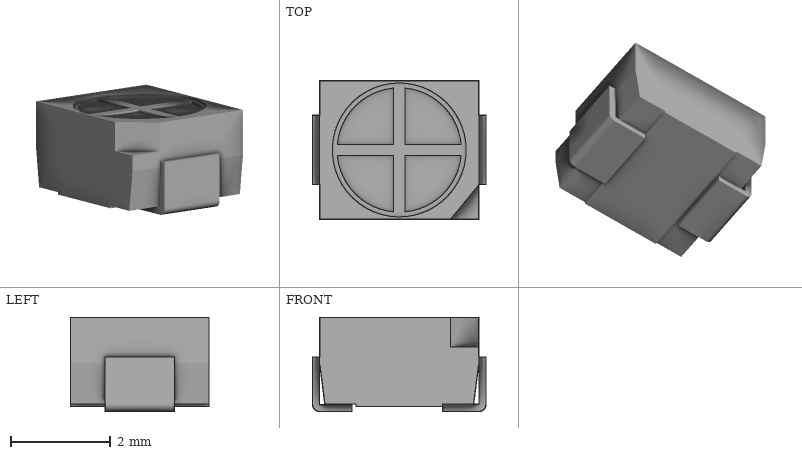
import cadquery as cq

total_length = 3.5
body_width = 2.8
total_height = 1.9

lead_thickness = 0.145
lead_width = 1.4
lead_height = 1.102
bend_radius = 0.147
left_foot_length = 0.798
right_foot_length = 0.875
left_foot_thickness = 0.145
right_foot_thickness = 0.15

body_length = total_length - 2 * lead_thickness
body_bottom = 0.1
ledge_height = right_foot_thickness
taper_height = 0.98
taper_inset = 0.105
pad_length = total_length - 2 * right_foot_length

notch_length = 0.575
notch_width = 0.7
notch_depth = 0.6

window_diameter = 2.7
window_depth = 0.05
pocket_diameter = 2.505
pocket_depth = 0.05
cross_width = 0.225


def make_body():
    """Block with tapered lower ends and a shallow pad underneath."""
    half_top = body_length / 2
    half_bottom = half_top - taper_inset
    half_pad = pad_length / 2
    outline = [
        (-half_top, total_height),
        (half_top, total_height),
        (half_top, taper_height),
        (half_bottom, ledge_height),
        (half_pad, ledge_height),
        (half_pad, body_bottom),
        (-half_pad, body_bottom),
        (-half_pad, ledge_height),
        (-half_bottom, ledge_height),
        (-half_top, taper_height),
    ]
    return cq.Workplane("XZ").polyline(outline).close().extrude(body_width / 2, both=True)


def make_notch():
    """Triangular prism that cuts the top of the +X, -Y corner."""
    corner_x = body_length / 2
    corner_y = -body_width / 2
    return (
        cq.Workplane("XY", origin=(0, 0, total_height - notch_depth))
        .moveTo(corner_x, corner_y)
        .lineTo(corner_x, corner_y + notch_width)
        .lineTo(corner_x - notch_length, corner_y)
        .close()
        .extrude(notch_depth)
    )


def make_window():
    """Round recess with four deeper quarter pockets in its floor."""
    floor = total_height - window_depth
    recess = cq.Workplane("XY", origin=(0, 0, floor)).circle(window_diameter / 2).extrude(window_depth)
    pockets = (
        cq.Workplane("XY", origin=(0, 0, floor - pocket_depth))
        .circle(pocket_diameter / 2)
        .extrude(pocket_depth)
    )
    cross = (
        cq.Workplane("XY", origin=(0, 0, floor - pocket_depth / 2))
        .box(window_diameter, cross_width, pocket_depth)
        .union(
            cq.Workplane("XY", origin=(0, 0, floor - pocket_depth / 2))
            .box(cross_width, window_diameter, pocket_depth)
        )
    )
    return recess.union(pockets.cut(cross))


def make_lead(side, foot_length, foot_thickness):
    """L-shaped lead with a rounded outer bend; side is -1 for -X, +1 for +X."""
    outer = side * total_length / 2
    inner = outer - side * lead_thickness
    tip = outer - side * foot_length
    outline = [
        (outer, 0),
        (outer, lead_height),
        (inner, lead_height),
        (inner, foot_thickness),
        (tip, foot_thickness),
        (tip, 0),
    ]
    lead = cq.Workplane("XZ").polyline(outline).close().extrude(lead_width / 2, both=True)
    outer_bend = cq.selectors.NearestToPointSelector((outer, 0, 0))
    return lead.edges(outer_bend).fillet(bend_radius)


body = make_body().cut(make_notch()).cut(make_window())
left_lead = make_lead(-1, left_foot_length, left_foot_thickness)
right_lead = make_lead(1, right_foot_length, right_foot_thickness)
result = body.union(left_lead).union(right_lead)